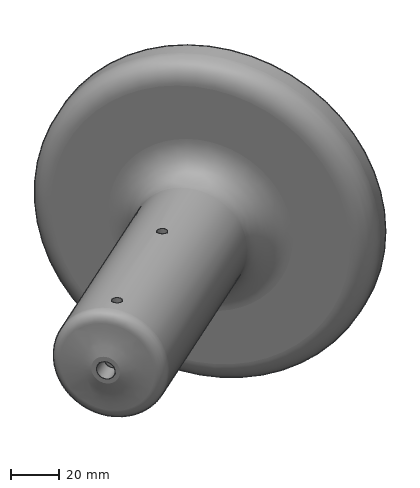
import cadquery as cq
import math

total_length = 152.0

disc_diameter = 150.0
disc_radius = disc_diameter / 2
disc_thickness = 20.0
disc_back_round = 3.0
disc_front_round = 10.0

grip_radius = 25.1
neck_fillet = 15.0
grip_end_round = 5.0
tip_radius = 6.2
tip_height = 3.0

end_hole_diameter = 8.0
end_hole_depth = 10.0
cross_hole_diameter = 4.5
cross_hole_distances = (73.7, 136.5)


def round_corner(profile, center, radius, start_angle, end_angle):
    """Continue the profile, which stands at start_angle, along an arc to end_angle."""
    points = []
    for angle in ((start_angle + end_angle) / 2, end_angle):
        x = center[0] + radius * math.cos(math.radians(angle))
        y = center[1] + radius * math.sin(math.radians(angle))
        points.append((x, y))
    return profile.threePointArc(*points)


def make_body():
    """Revolve the half outline of disc, neck, grip and raised tip about Y."""
    neck_center = (grip_radius + neck_fillet, -disc_thickness - neck_fillet)
    rim_y = -total_length + tip_height
    end_face_run = grip_radius - tip_radius
    end_face_radius = (end_face_run**2 + tip_height**2) / (2 * tip_height)
    end_face_center_y = rim_y - end_face_radius
    centers_distance = end_face_radius + grip_end_round
    centers_rise = math.sqrt(centers_distance**2 - grip_end_round**2)
    end_round_center = (grip_radius - grip_end_round, end_face_center_y + centers_rise)
    end_round_stop = -math.degrees(math.atan2(centers_rise, grip_end_round))
    disc_back_center = (disc_radius - disc_back_round, -disc_back_round)
    disc_front_center = (disc_radius - disc_front_round, -disc_thickness + disc_front_round)

    profile = cq.Workplane("XY").lineTo(disc_back_center[0], 0)
    profile = round_corner(profile, disc_back_center, disc_back_round, 90, 0)
    profile = profile.lineTo(disc_radius, disc_front_center[1])
    profile = round_corner(profile, disc_front_center, disc_front_round, 0, -90)
    profile = profile.lineTo(neck_center[0], -disc_thickness)
    profile = round_corner(profile, neck_center, neck_fillet, 90, 180)
    profile = profile.lineTo(grip_radius, end_round_center[1])
    profile = round_corner(profile, end_round_center, grip_end_round, 0, end_round_stop)
    profile = profile.radiusArc((tip_radius, -total_length), -end_face_radius)
    profile = profile.lineTo(0, -total_length).close()
    return profile.revolve(360, (0, 0, 0), (0, 1, 0))


def make_end_hole():
    """Blind hole along the axis, opening in the tip."""
    return (
        cq.Workplane("XZ", origin=(0, -total_length, 0))
        .circle(end_hole_diameter / 2)
        .extrude(-end_hole_depth)
    )


def make_cross_holes():
    """Vertical holes that pass right through the grip."""
    centers = [(0, -distance) for distance in cross_hole_distances]
    return (
        cq.Workplane("XY")
        .pushPoints(centers)
        .circle(cross_hole_diameter / 2)
        .extrude(grip_radius, both=True)
    )


result = make_body().cut(make_end_hole()).cut(make_cross_holes())